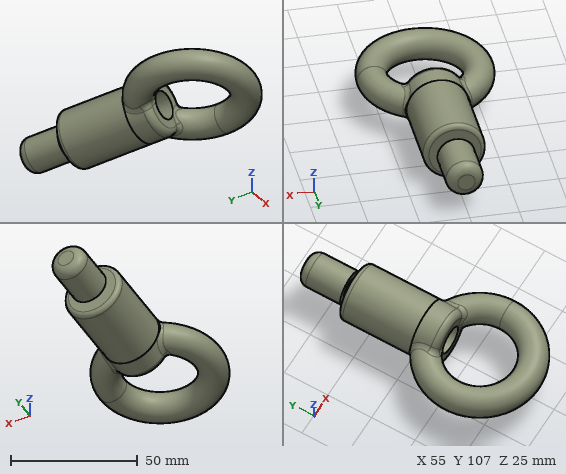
import cadquery as cq
ring_outer_diameter = 55.0
ring_bar_diameter = 12.5
ring_bar_radius = ring_bar_diameter / 2
ring_centre_radius = ring_outer_diameter / 2 - ring_bar_radius

body_diameter = 25.0
body_radius = body_diameter / 2
hub_front_y = 13.5
hub_length = 11.0
hub_back_y = hub_front_y + hub_length
hub_bore_diameter = 12.0
hub_rim_fillet = 3.0
ring_to_hub_fillet = 3.0

barrel_length = 33.0
barrel_end_y = hub_back_y + barrel_length
barrel_rim_fillet = 2.0
tip_y = 79.5
head_diameter = 15.0
head_radius = head_diameter / 2
head_length = 19.8
head_back_y = tip_y - head_length
head_nose_radius = 4.0
neck_diameter = 9.0
neck_radius = neck_diameter / 2


def cylinder_along_y(radius, start_y, end_y):
    """Cylinder on the Y axis between two stations."""
    plane = cq.Workplane("XZ", origin=(0, start_y, 0))
    return plane.circle(radius).extrude(start_y - end_y)


def make_eye():
    """Ring blended into its bored hub and cut flat at the back of the hub."""
    ring = cq.Workplane("XY").add(cq.Solid.makeTorus(ring_centre_radius, ring_bar_radius))

    hub = cylinder_along_y(body_radius, hub_front_y, ring_outer_diameter)
    hub = hub.faces("<Y").edges().fillet(hub_rim_fillet)

    eye = ring.union(hub)
    eye = eye.edges("%BSPLINE").fillet(ring_to_hub_fillet)

    behind_hub = cylinder_along_y(ring_outer_diameter, hub_back_y, tip_y)
    eye = eye.cut(behind_hub)

    bore = cylinder_along_y(hub_bore_diameter / 2, hub_front_y, hub_back_y)
    return eye.cut(bore)


def make_shank():
    """Barrel, neck and head as one turned piece butted against the back of the hub."""
    barrel = cylinder_along_y(body_radius, hub_back_y, barrel_end_y)
    barrel = barrel.faces(">Y").edges().fillet(barrel_rim_fillet)

    neck = cylinder_along_y(neck_radius, barrel_end_y, head_back_y)

    head = cylinder_along_y(head_radius, head_back_y, tip_y)
    head = head.faces(">Y").edges().fillet(head_nose_radius)

    return barrel.union(neck).union(head)


eye = make_eye()
shank = make_shank()

result = cq.Compound.makeCompound([eye.val(), shank.val()])